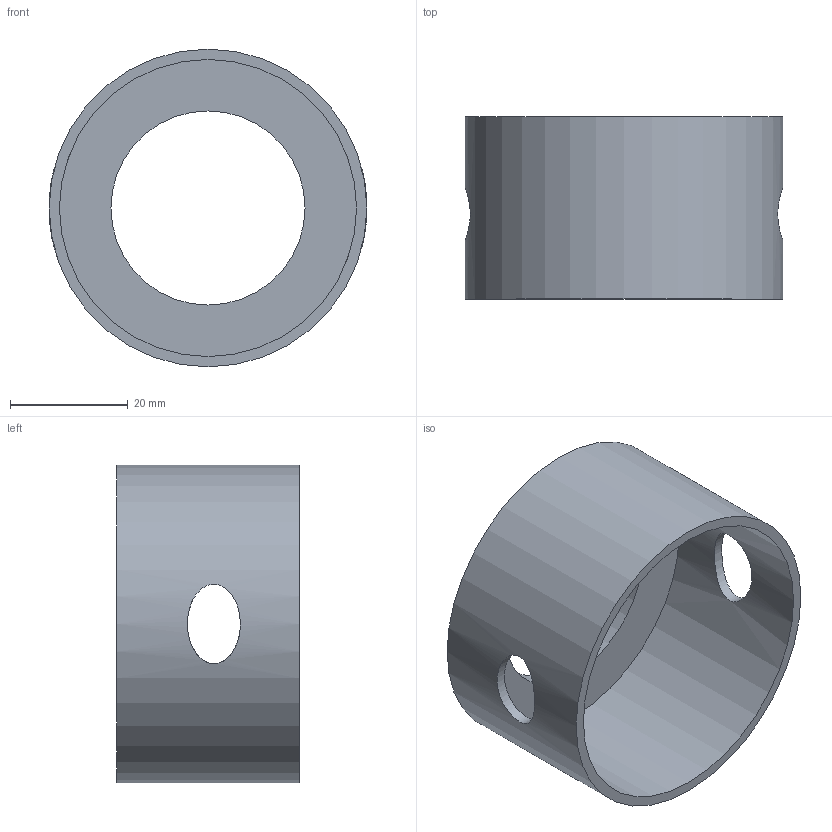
import cadquery as cq

outer_diameter = 54.0
bore_diameter = 50.5
length = 31.0

flange_thickness = 3.5
opening_diameter = 33.0

window_width = 9.0
window_height = 13.5
window_from_open_end = 14.5


def cylinder_along_y(diameter, start, end):
    """Solid cylinder on the Y axis between two Y positions."""
    return (
        cq.Workplane("XZ", origin=(0, start, 0))
        .circle(diameter / 2)
        .extrude(start - end)
    )


def side_windows():
    """Elliptical bar along X that cuts both opposite windows."""
    return (
        cq.Workplane("YZ", origin=(0, window_from_open_end, 0))
        .ellipse(window_width / 2, window_height / 2)
        .extrude(outer_diameter, both=True)
    )


body = cylinder_along_y(outer_diameter, 0, length)
bore = cylinder_along_y(bore_diameter, 0, length - flange_thickness)
opening = cylinder_along_y(opening_diameter, 0, length)

result = body.cut(bore).cut(opening).cut(side_windows())